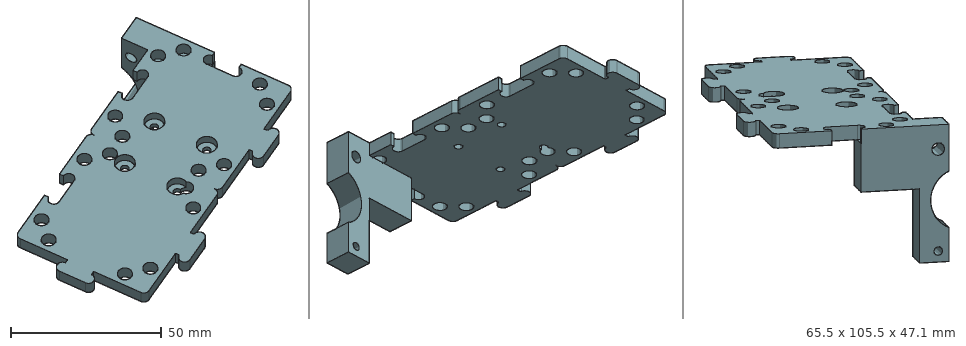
import cadquery as cq

TILE = 50.0
THICKNESS = 5.0
CORNER_RADIUS = 2.0
TILE_CENTRES = [(0, TILE / 2), (0, -TILE / 2)]

TAB_REACH = 5.5
TAB_NECK = 10.0
TAB_HEAD_RADIUS = 2.0
TAB_NECK_FILLET = 0.5
SOCKET_DEPTH = 5.6
SOCKET_MOUTH = 10.1
SOCKET_HEAD_RADIUS = 2.0

TILE_HOLE_DIAMETER = 5.0
TILE_HOLE_NEAR = 14.6
TILE_HOLE_FAR = 20.8

SCREW_DIAMETER = 2.8
SCREW_HEAD_DIAMETER = 7.0
SCREW_HEAD_DEPTH = 3.2
SCREW_SPACING = 20
SCREW_CENTRE = (1.7, 4.9)

BRACKET_HEIGHT = 47.1
BRACKET_DEPTH = 10.0
BRACKET_LENGTH = 30.1
BLOCK_HEIGHT = 21.6
LEG_WIDTH = 10.0

RECESS_RADIUS = 10.7
RECESS_REACH = 6.2
RECESS_DROP = 25.7
BRACKET_HOLE_INSET = 3.7
UPPER_HOLE_DIAMETER = 4.2
UPPER_HOLE_DROP = 8.3
LOWER_HOLE_DIAMETER = 2.8
LOWER_HOLE_DROP = 43.3

BRACKET_LEFT = -TILE / 2 - LEG_WIDTH


def connector(neck, reach, head_radius):
    """T-shaped prism pointing along +X, with its neck starting at X = 0."""
    head_x = reach - head_radius
    neck_body = cq.Workplane("XY").rect(2 * head_x, neck).extrude(THICKNESS)
    head = (
        cq.Workplane("XY")
        .center(head_x, 0)
        .slot2D(neck + 2 * head_radius, 2 * head_radius, 90)
        .extrude(THICKNESS)
    )
    beyond_edge = cq.Workplane("XY").box(2 * reach, 2 * neck, THICKNESS, centered=(False, True, False))
    return neck_body.union(head).intersect(beyond_edge)


def plain_tab():
    return connector(TAB_NECK, TAB_REACH, TAB_HEAD_RADIUS)


def filleted_tab():
    body = plain_tab()
    corner_x = TAB_REACH - 2 * TAB_HEAD_RADIUS
    for side in (-1, 1):
        corner = cq.selectors.NearestToPointSelector((corner_x, side * TAB_NECK / 2, THICKNESS / 2))
        body = body.edges("|Z").edges(corner).fillet(TAB_NECK_FILLET)
    return body


def plate():
    tile = cq.Workplane("XY").rect(TILE, TILE).extrude(THICKNESS).edges("|Z").fillet(CORNER_RADIUS)
    body = cq.Workplane("XY")
    for x, y in TILE_CENTRES:
        body = body.union(tile.translate((x, y, 0)))
        body = body.union(filleted_tab().translate((x + TILE / 2, y, 0)))
    return body.union(plain_tab().rotate((0, 0, 0), (0, 0, 1), -90).translate((0, -TILE, 0)))


def bracket():
    top = THICKNESS
    right = BRACKET_LEFT + BRACKET_LENGTH
    leg_right = BRACKET_LEFT + LEG_WIDTH
    body = (
        cq.Workplane("XZ", origin=(0, TILE, 0))
        .moveTo(BRACKET_LEFT, top)
        .lineTo(right, top)
        .lineTo(right, top - BLOCK_HEIGHT)
        .lineTo(leg_right, top - BLOCK_HEIGHT)
        .lineTo(leg_right, top - BRACKET_HEIGHT)
        .lineTo(BRACKET_LEFT, top - BRACKET_HEIGHT)
        .close()
        .extrude(BRACKET_DEPTH)
    )
    hole_x = BRACKET_LEFT + BRACKET_HOLE_INSET
    cuts = [
        (BRACKET_LEFT + RECESS_REACH - RECESS_RADIUS, RECESS_DROP, RECESS_RADIUS),
        (hole_x, UPPER_HOLE_DROP, UPPER_HOLE_DIAMETER / 2),
        (hole_x, LOWER_HOLE_DROP, LOWER_HOLE_DIAMETER / 2),
    ]
    for x, drop, radius in cuts:
        body = body.cut(
            cq.Workplane("XZ", origin=(x, TILE, top - drop)).circle(radius).extrude(BRACKET_DEPTH)
        )
    return body


def sockets():
    socket = connector(SOCKET_MOUTH, SOCKET_DEPTH, SOCKET_HEAD_RADIUS)
    cutters = socket.rotate((0, 0, 0), (0, 0, 1), -90).translate((0, TILE, 0))
    for x, y in TILE_CENTRES:
        cutters = cutters.union(socket.translate((x - TILE / 2, y, 0)))
    return cutters


def tile_holes():
    offsets = [
        (sx * dx, sy * dy)
        for dx, dy in ((TILE_HOLE_NEAR, TILE_HOLE_FAR), (TILE_HOLE_FAR, TILE_HOLE_NEAR))
        for sx in (-1, 1)
        for sy in (-1, 1)
    ]
    points = [(cx + dx, cy + dy) for cx, cy in TILE_CENTRES for dx, dy in offsets]
    return cq.Workplane("XY").pushPoints(points).circle(TILE_HOLE_DIAMETER / 2).extrude(THICKNESS)


def screw_holes():
    def drill(diameter, depth):
        return (
            cq.Workplane("XY", origin=(*SCREW_CENTRE, THICKNESS))
            .rarray(SCREW_SPACING, SCREW_SPACING, 2, 2)
            .circle(diameter / 2)
            .extrude(-depth)
        )

    return drill(SCREW_DIAMETER, THICKNESS).union(drill(SCREW_HEAD_DIAMETER, SCREW_HEAD_DEPTH))


result = plate().union(bracket()).cut(sockets()).cut(tile_holes()).cut(screw_holes())